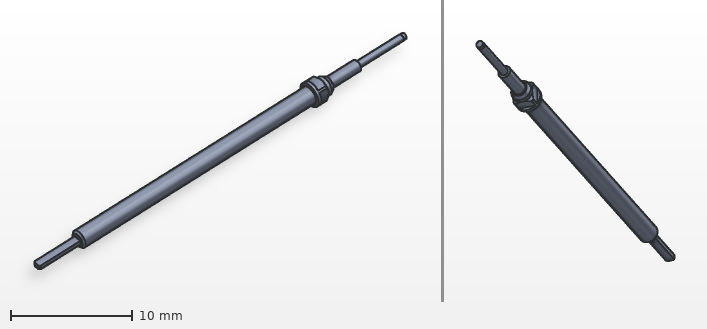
import cadquery as cq

total_length = 40.2

blade_radius = 0.422
blade_thickness = 0.45
blade_tip_chamfer = 0.12

nose_y = 4.45
nose_chamfer_length = 0.2
nose_radius = 0.65
barrel_radius = 0.825

flange_radius = 1.145
flange_y = 29.83
flange_thickness = 0.32

collar_width = 1.75
collar_length = 1.0
collar_cone_length = 0.2
shoulder_length = 0.35
shoulder_taper_length = 0.35
shoulder_end_radius = 0.7

sleeve_radius = 0.543
sleeve_end_y = 35.0
wire_radius = 0.32
core_radius = 0.3
core_length = 0.32

nose_shoulder_y = nose_y + nose_chamfer_length
collar_y = flange_y + flange_thickness
collar_end_y = collar_y + collar_length
shoulder_end_y = collar_end_y + shoulder_length
sleeve_y = shoulder_end_y + shoulder_taper_length


def revolve_profile(points):
    """Turn (radius, Y) points, closed along the axis, into a solid of revolution about Y."""
    start_y = points[0][1]
    end_y = points[-1][1]
    outline = cq.Workplane("XY").polyline([(0, start_y)] + points + [(0, end_y)]).close()
    return outline.revolve(360, (0, 0), (0, 1))


def make_blade():
    """Round rod with a chamfered tip, cut by a slab to leave the two flats."""
    rod = revolve_profile([
        (blade_radius - blade_tip_chamfer, 0),
        (blade_radius, blade_tip_chamfer),
        (blade_radius, nose_shoulder_y),
    ])
    slab = cq.Workplane("XY").box(2 * blade_radius, 2 * nose_shoulder_y, blade_thickness)
    return rod.intersect(slab)


def make_barrel():
    """Barrel with its chamfered nose and the stop flange."""
    return revolve_profile([
        (nose_radius, nose_y),
        (barrel_radius, nose_shoulder_y),
        (barrel_radius, flange_y),
        (flange_radius, flange_y),
        (flange_radius, collar_y),
    ])


def make_collar():
    """Square collar with corners turned to the flange radius and coned down to the shoulder."""
    turned = revolve_profile([
        (flange_radius, collar_y),
        (flange_radius, collar_end_y - collar_cone_length),
        (collar_width / 2, collar_end_y),
    ])
    square = cq.Workplane("XY").box(collar_width, 2 * collar_end_y, collar_width)
    return turned.intersect(square)


def make_tail():
    """Round shoulder, crimp sleeve, wire and bare core."""
    return revolve_profile([
        (collar_width / 2, collar_end_y),
        (collar_width / 2, shoulder_end_y),
        (shoulder_end_radius, sleeve_y),
        (sleeve_radius, sleeve_y),
        (sleeve_radius, sleeve_end_y),
        (wire_radius, sleeve_end_y),
        (wire_radius, total_length - core_length),
        (core_radius, total_length - core_length),
        (core_radius, total_length),
    ])


result = make_barrel().union(make_blade()).union(make_collar()).union(make_tail())